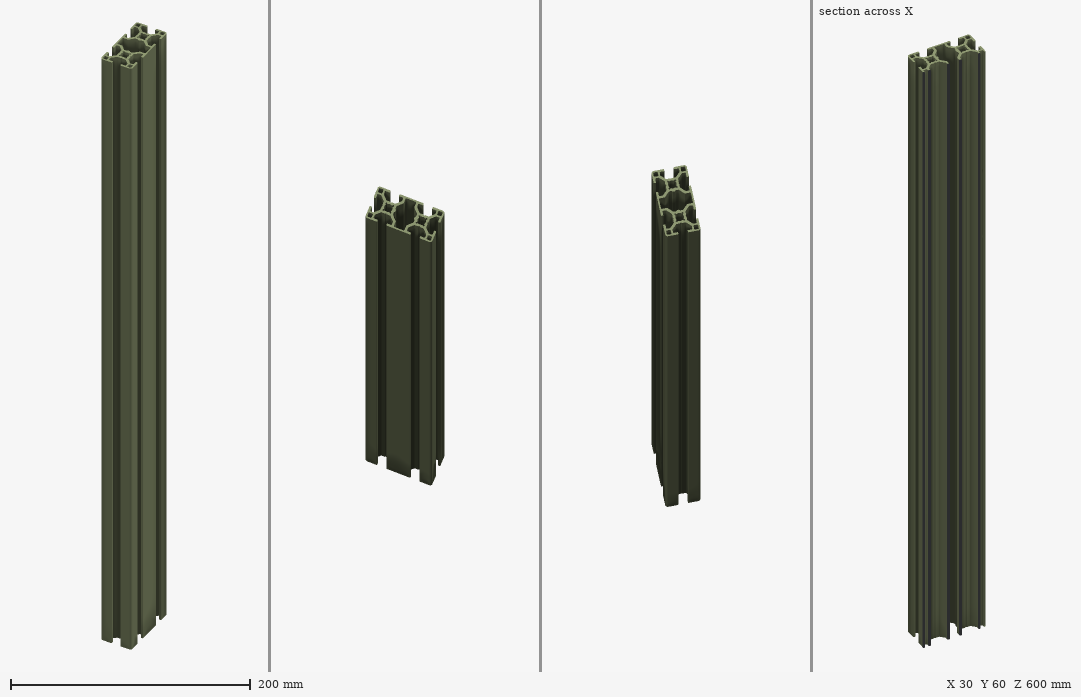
import cadquery as cq
import math

cell = 30.0
length = 600.0
half_cell = cell / 2
corner_radius = 2.1

slot_half_opening = 4.1
lip_thickness = 2.0
lip_radius = 0.5
lip_overhang = 4.15
cavity_radius = 0.7
groove_half_width = 0.9
groove_depth = 0.5

core_half = 5.7
bore_radius = 3.5
lobe_width = 1.45
lobe_reach = 5.1

web_thickness = 2.35
chamber_wall = 1.4
corner_chamber_side = 3.9
chamber_radius = 0.7
middle_chamber_half_height = 5.0
rib_half_width = 1.7
rib_height = 0.9

cavity_half_width = slot_half_opening + lip_overhang
web_offset = web_thickness / 2 * math.sqrt(2)
floor_half_width = core_half - web_offset


def t_slot(center_y, angle):
    """T-slot cutter for the cell at center_y; at angle 0 the slot opens toward +Y."""
    lip_inside = half_cell - lip_thickness
    arc_middle = math.sqrt(0.5)
    lip_arc_x = slot_half_opening + lip_radius
    lip_arc_y = half_cell - lip_radius
    cavity_arc_x = cavity_half_width - cavity_radius
    cavity_arc_y = lip_inside - cavity_radius
    half_slot = (
        cq.Workplane("XY")
        .moveTo(0, half_cell)
        .lineTo(lip_arc_x, half_cell)
        .threePointArc(
            (lip_arc_x - lip_radius * arc_middle, lip_arc_y + lip_radius * arc_middle),
            (slot_half_opening, lip_arc_y),
        )
        .lineTo(slot_half_opening, lip_inside)
        .lineTo(cavity_arc_x, lip_inside)
        .threePointArc(
            (cavity_arc_x + cavity_radius * arc_middle, cavity_arc_y + cavity_radius * arc_middle),
            (cavity_half_width, cavity_arc_y),
        )
        .lineTo(cavity_half_width, cavity_half_width + web_offset)
        .lineTo(floor_half_width, core_half)
        .lineTo(groove_half_width, core_half)
        .lineTo(0, core_half - groove_depth)
        .close()
        .extrude(length)
    )
    slot = half_slot.union(half_slot.mirror("YZ"))
    return slot.rotate((0, 0, 0), (0, 0, 1), angle).translate((0, center_y, 0))


def middle_chamber():
    """Hollow between the two cells, narrowing along the webs to a ribbed face on each core."""
    side_x = half_cell - chamber_wall
    web_start_x = half_cell - middle_chamber_half_height - web_offset
    core_y = half_cell - core_half
    upper_right = [
        (side_x, middle_chamber_half_height),
        (web_start_x, middle_chamber_half_height),
        (floor_half_width, core_y),
        (rib_half_width, core_y),
        (rib_half_width - rib_height, core_y - rib_height),
    ]
    upper = upper_right + [(-x, y) for x, y in reversed(upper_right)]
    lower = [(-x, -y) for x, y in upper]
    chamber = cq.Workplane("XY").polyline(upper + lower).close().extrude(length)
    return chamber.faces("<X or >X").edges("|Z").fillet(chamber_radius)


def corner_chambers():
    """Rounded square hollows in the four outer corners."""
    inset = chamber_wall + corner_chamber_side / 2
    spacing_x = 2 * (half_cell - inset)
    spacing_y = 2 * (cell - inset)
    return (
        cq.Workplane("XY")
        .rarray(spacing_x, spacing_y, 2, 2)
        .rect(corner_chamber_side, corner_chamber_side)
        .extrude(length)
        .edges("|Z")
        .fillet(chamber_radius)
    )


def core_bore(center_y):
    """Round bore with four diagonal lobes through the core at center_y."""
    bore = cq.Workplane("XY").circle(bore_radius).extrude(length)
    lobes = cq.Workplane("XY").rect(2 * lobe_reach, lobe_width).extrude(length)
    for angle in (45, -45):
        bore = bore.union(lobes.rotate((0, 0, 0), (0, 0, 1), angle))
    return bore.translate((0, center_y, 0))


result = (
    cq.Workplane("XY")
    .rect(cell, 2 * cell)
    .extrude(length)
    .edges("|Z")
    .fillet(corner_radius)
)

for center_y, end_angle in ((half_cell, 0), (-half_cell, 180)):
    for slot_angle in (end_angle, 90, -90):
        result = result.cut(t_slot(center_y, slot_angle))
    result = result.cut(core_bore(center_y))

result = result.cut(middle_chamber()).cut(corner_chambers())